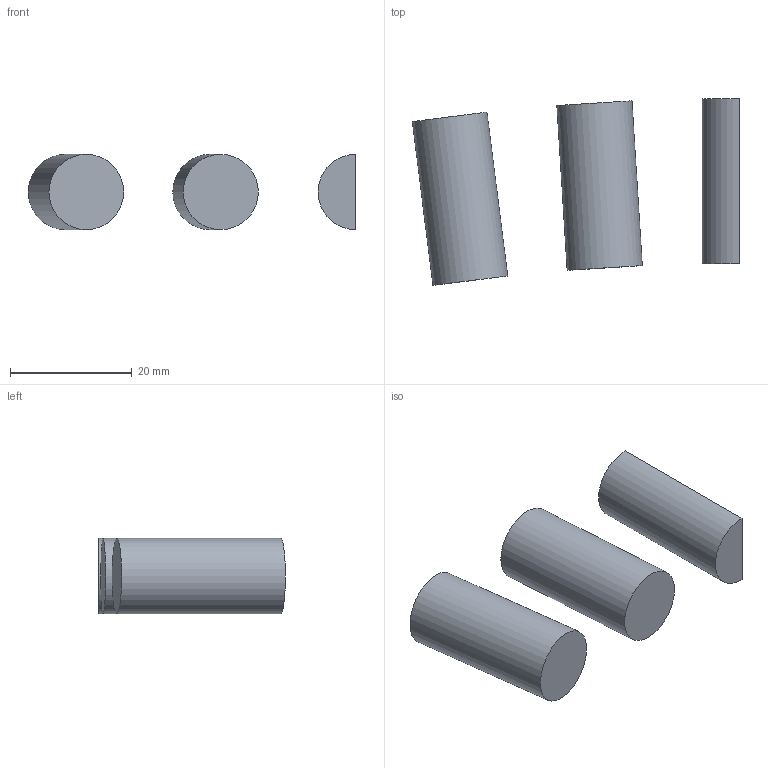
import cadquery as cq
import math

roller_diameter = 12.36
roller_length = 27.11
roller_radius = roller_diameter / 2
pitch_angle = 3.6
overall_width = 53.76
full_roller_count = 2

far_end = (0, roller_length / 2, 0)

fan_angle = math.radians(full_roller_count * pitch_angle)
arc_radius = (
    (overall_width - roller_radius * math.cos(fan_angle)) / math.sin(fan_angle)
    - roller_length / 2
)


def make_roller():
    """Plain roller along Y, centred on the origin."""
    return cq.Workplane("XZ", origin=far_end).circle(roller_radius).extrude(roller_length)


def make_half_roller():
    """Roller along Y keeping only its -X half, with a flat face on the YZ plane."""
    return (
        cq.Workplane("XZ", origin=far_end)
        .moveTo(0, roller_radius)
        .threePointArc((-roller_radius, 0), (0, -roller_radius))
        .close()
        .extrude(roller_length)
    )


def place_on_arc(roller, angle):
    """Swing a roller about the arc centre, which lies below the half roller on -Y."""
    return roller.rotate((0, -arc_radius, 0), (0, -arc_radius, 1), angle)


half_roller = make_half_roller()
full_rollers = [
    place_on_arc(make_roller(), index * pitch_angle)
    for index in range(1, full_roller_count + 1)
]

result = cq.Compound.makeCompound(
    [half_roller.val(), *[roller.val() for roller in full_rollers]]
)